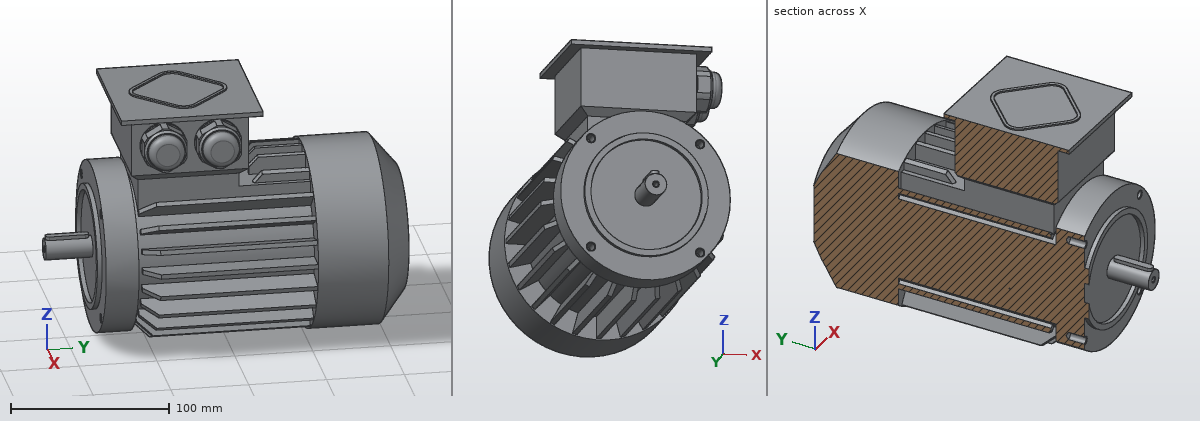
import cadquery as cq
import math


SHAFT_DIA = 14.0
SHAFT_LENGTH = 30.0
KEY_WIDTH = 5.0
KEY_TOP = 9.0
KEY_DEPTH = 5.0
KEY_LENGTH = 28.0
KEY_TO_SHAFT_END = 0.5
SHAFT_HOLE_DIA = 3.24
SHAFT_HOLE_MOUTH_DIA = 4.3
SHAFT_HOLE_DEPTH = 10.0

FLANGE_DIA = 110.0
FLANGE_THICKNESS = 21.1
REGISTER_DIA = 80.0
REGISTER_RECESS_DIA = 72.0
REGISTER_HEIGHT = 3.0
BOLT_CIRCLE_DIA = 100.0
BOLT_COUNT = 4
BOLT_HOLE_DIA = 4.92
BOLT_HOLE_MOUTH_DIA = 6.0
BOLT_HOLE_DEPTH = 12.0
DRILL_TIP_ANGLE = 118.0

BODY_DIA = 92.0
FIN_DIA = 120.0
FIN_THICKNESS = 3.0
FIN_BEVEL = 10.0
FIN_PITCH = 15.0
FIRST_FIN_ANGLE = 135.0
RADIAL_FIN_COUNT = 19
UPRIGHT_FIN_OFFSETS = (-27.1, -12.1, 0.0, 12.1, 27.1)
UPRIGHT_FIN_FRONT = 99.0
UPRIGHT_FIN_BEVEL = 6.0

COVER_DIA = 122.0
COVER_FRONT = 135.3
COVER_SHOULDER = 180.4
COVER_BACK = 197.0
COVER_BACK_DIA = 82.0

BOX_CENTRE_Y = 57.0
BOX_SIZE = 75.0
BOX_BOTTOM = 61.0
BOX_TOP = 99.0
SEAT_WIDTH = 64.0
SEAT_LENGTH = 65.0
SEAT_FRONT = BOX_CENTRE_Y - SEAT_LENGTH / 2
SEAT_BACK = BOX_CENTRE_Y + SEAT_LENGTH / 2
SEAT_TOP = 56.0
PAD_TOP = 47.2
LID_SIZE = 91.0
LID_THICKNESS = 3.0
LID_TOP = BOX_TOP + LID_THICKNESS

FRAME_SIZE = 50.0
FRAME_CORNER_RADIUS = 10.0
FRAME_WIDTH = 2.1
FRAME_CENTRE_Y = 55.8
FRAME_HEIGHT = 1.0

GLAND_SPACING = 35.0
GLAND_CENTRE_Z = 81.1
GLAND_DIA = 29.5
GLAND_HEX_SIDES = 6
GLAND_ACROSS_FLATS = 27.4
GLAND_COLLAR = 2.0
GLAND_FLATS_LENGTH = 8.7
GLAND_CONE_LENGTH = 1.7
GLAND_CONE_END_DIA = 24.6
CAP_DIA = 23.26
CAP_STRAIGHT = 2.0
CAP_ROUND = 4.8
CAP_END_DIA = 15.0


def cylinder_y(diameter, y_start, y_end):
    """Solid cylinder about the motor axis."""
    circle = cq.Workplane("XZ", origin=(0, y_start, 0)).circle(diameter / 2)
    return circle.extrude(y_start - y_end)


def box_between(x_size, y_start, y_end, z_start, z_end):
    """Block centred on X = 0."""
    block = cq.Workplane("XY").box(x_size, y_end - y_start, z_end - z_start)
    return block.translate((0, (y_start + y_end) / 2, (z_start + z_end) / 2))


def drilled_hole(diameter, mouth_diameter, depth, x, y, z):
    """Hole drilled toward +Y from (x, y, z), with a 45 degree mouth and a drill-point bottom."""
    radius = diameter / 2
    mouth_radius = mouth_diameter / 2
    tip = radius / math.tan(math.radians(DRILL_TIP_ANGLE / 2))
    profile = [
        (0, 0),
        (mouth_radius, 0),
        (radius, mouth_radius - radius),
        (radius, depth),
        (0, depth + tip),
    ]
    hole = cq.Workplane("XY").polyline(profile).close().revolve(360, (0, 0, 0), (0, 1, 0))
    return hole.translate((x, y, z))


def make_shaft():
    shaft = cylinder_y(SHAFT_DIA, -SHAFT_LENGTH, FLANGE_THICKNESS)
    key_centre_y = -SHAFT_LENGTH + KEY_TO_SHAFT_END + KEY_LENGTH / 2
    key = (
        cq.Workplane("XY", origin=(0, key_centre_y, KEY_TOP - KEY_DEPTH))
        .slot2D(KEY_LENGTH, KEY_WIDTH, 90)
        .extrude(KEY_DEPTH)
    )
    hole = drilled_hole(
        SHAFT_HOLE_DIA, SHAFT_HOLE_MOUTH_DIA, SHAFT_HOLE_DEPTH, 0, -SHAFT_LENGTH, 0
    )
    return shaft.union(key).cut(hole)


def make_flange():
    flange = cylinder_y(FLANGE_DIA, 0, FLANGE_THICKNESS)
    register = cylinder_y(REGISTER_DIA, -REGISTER_HEIGHT, 0)
    register = register.cut(cylinder_y(REGISTER_RECESS_DIA, -REGISTER_HEIGHT, 0))
    flange = flange.union(register)
    for index in range(BOLT_COUNT):
        angle = math.radians(360 / BOLT_COUNT * (index + 0.5))
        x = BOLT_CIRCLE_DIA / 2 * math.cos(angle)
        z = BOLT_CIRCLE_DIA / 2 * math.sin(angle)
        flange = flange.cut(
            drilled_hole(BOLT_HOLE_DIA, BOLT_HOLE_MOUTH_DIA, BOLT_HOLE_DEPTH, x, 0, z)
        )
    return flange


def make_radial_fin(angle):
    """Fin at the given angle from +X toward +Z, flush with the front of the terminal box seat.

    Its front outer corner is bevelled.
    """
    tip = FIN_DIA / 2
    profile = [
        (0, SEAT_FRONT),
        (tip - FIN_BEVEL, SEAT_FRONT),
        (tip, SEAT_FRONT + FIN_BEVEL),
        (tip, COVER_FRONT),
        (0, COVER_FRONT),
    ]
    fin = cq.Workplane("XY").polyline(profile).close().extrude(FIN_THICKNESS / 2, both=True)
    return fin.rotate((0, 0, 0), (0, 1, 0), -angle)


def make_upright_fins():
    """Parallel vertical fins behind the terminal box, trimmed to the round fin outline."""
    envelope = cylinder_y(FIN_DIA, UPRIGHT_FIN_FRONT + UPRIGHT_FIN_BEVEL, COVER_FRONT)
    nose = cq.Workplane(
        cq.Solid.makeCone(
            FIN_DIA / 2 - UPRIGHT_FIN_BEVEL,
            FIN_DIA / 2,
            UPRIGHT_FIN_BEVEL,
            cq.Vector(0, UPRIGHT_FIN_FRONT, 0),
            cq.Vector(0, 1, 0),
        )
    )
    envelope = envelope.union(nose)
    fins = cq.Workplane("XY")
    for offset in UPRIGHT_FIN_OFFSETS:
        fin = box_between(FIN_THICKNESS, UPRIGHT_FIN_FRONT, COVER_FRONT, 0, FIN_DIA / 2)
        fins = fins.union(fin.translate((offset, 0, 0)))
    return fins.intersect(envelope)


def make_housing():
    housing = cylinder_y(BODY_DIA, FLANGE_THICKNESS, COVER_FRONT)
    for index in range(RADIAL_FIN_COUNT):
        housing = housing.union(make_radial_fin(FIRST_FIN_ANGLE + index * FIN_PITCH))
    pad = box_between(SEAT_WIDTH, SEAT_FRONT, COVER_FRONT, 0, PAD_TOP)
    return housing.union(pad).union(make_upright_fins())


def make_fan_cover():
    profile = [
        (0, COVER_FRONT),
        (COVER_DIA / 2, COVER_FRONT),
        (COVER_DIA / 2, COVER_SHOULDER),
        (COVER_BACK_DIA / 2, COVER_BACK),
        (0, COVER_BACK),
    ]
    return cq.Workplane("XY").polyline(profile).close().revolve(360, (0, 0, 0), (0, 1, 0))


def make_terminal_box():
    seat = box_between(SEAT_WIDTH, SEAT_FRONT, SEAT_BACK, 0, SEAT_TOP)
    flare = (
        cq.Workplane("XY", origin=(0, BOX_CENTRE_Y, SEAT_TOP))
        .rect(SEAT_WIDTH, SEAT_LENGTH)
        .workplane(offset=BOX_BOTTOM - SEAT_TOP)
        .rect(BOX_SIZE, BOX_SIZE)
        .loft(ruled=True)
    )
    box_front = BOX_CENTRE_Y - BOX_SIZE / 2
    box = box_between(BOX_SIZE, box_front, box_front + BOX_SIZE, BOX_BOTTOM, BOX_TOP)
    lid_front = BOX_CENTRE_Y - LID_SIZE / 2
    lid = box_between(LID_SIZE, lid_front, lid_front + LID_SIZE, BOX_TOP, LID_TOP)
    return seat.union(flare).union(box).union(lid).union(make_lid_frame())


def rounded_square(size, corner_radius):
    square = cq.Workplane("XY").rect(size, size).extrude(FRAME_HEIGHT)
    return square.edges("|Z").fillet(corner_radius)


def make_lid_frame():
    """Raised rounded square frame, turned 45 degrees on the lid."""
    outer = rounded_square(FRAME_SIZE, FRAME_CORNER_RADIUS)
    inner = rounded_square(FRAME_SIZE - 2 * FRAME_WIDTH, FRAME_CORNER_RADIUS - FRAME_WIDTH)
    frame = outer.cut(inner).rotate((0, 0, 0), (0, 0, 1), 45)
    return frame.translate((0, FRAME_CENTRE_Y, LID_TOP))


def make_gland(y):
    """Cable gland along +X: round collar, hexagon with turned corners, cone and domed cap."""
    cone_start = GLAND_COLLAR + GLAND_FLATS_LENGTH
    cone_end = cone_start + GLAND_CONE_LENGTH
    cap_shoulder = cone_end + CAP_STRAIGHT
    cap_end = cap_shoulder + CAP_ROUND
    bulge = math.sin(math.radians(45))
    cap_mid = (
        cap_shoulder + CAP_ROUND * bulge,
        CAP_END_DIA / 2 + (CAP_DIA - CAP_END_DIA) / 2 * bulge,
    )
    gland = (
        cq.Workplane("XY")
        .lineTo(0, GLAND_DIA / 2)
        .lineTo(cone_start, GLAND_DIA / 2)
        .lineTo(cone_start, GLAND_ACROSS_FLATS / 2)
        .lineTo(cone_end, GLAND_CONE_END_DIA / 2)
        .lineTo(cone_end, CAP_DIA / 2)
        .lineTo(cap_shoulder, CAP_DIA / 2)
        .threePointArc(cap_mid, (cap_end, CAP_END_DIA / 2))
        .lineTo(cap_end, 0)
        .close()
        .revolve(360, (0, 0, 0), (1, 0, 0))
    )
    across_corners = GLAND_ACROSS_FLATS / math.cos(math.pi / GLAND_HEX_SIDES)
    flats = (
        cq.Workplane("YZ", origin=(GLAND_COLLAR, 0, 0))
        .circle(GLAND_DIA)
        .extrude(GLAND_FLATS_LENGTH)
        .cut(
            cq.Workplane("YZ", origin=(GLAND_COLLAR, 0, 0))
            .polygon(GLAND_HEX_SIDES, across_corners)
            .extrude(GLAND_FLATS_LENGTH)
            .rotate((0, 0, 0), (1, 0, 0), 90)
        )
    )
    return gland.cut(flats).translate((BOX_SIZE / 2, y, GLAND_CENTRE_Z))


result = make_flange().union(make_shaft()).union(make_housing())
result = result.union(make_fan_cover()).union(make_terminal_box())
for side in (-1, 1):
    result = result.union(make_gland(BOX_CENTRE_Y + side * GLAND_SPACING / 2))